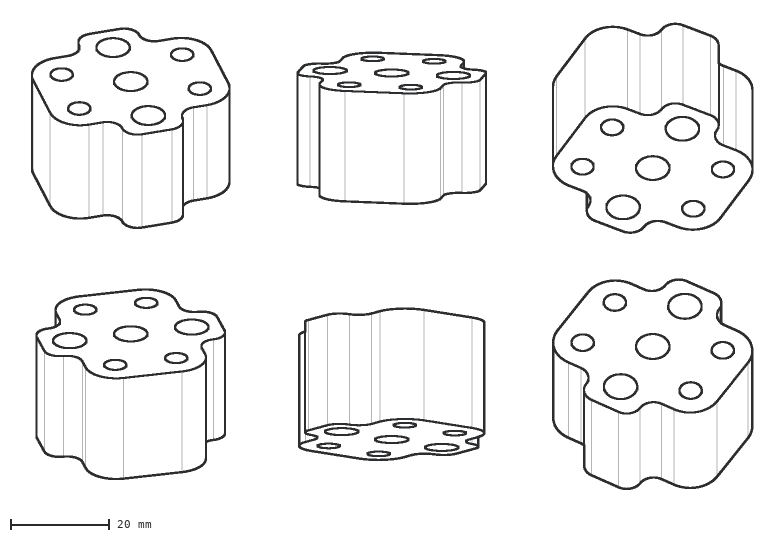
import cadquery as cq

pitch = 12.7
overall = 37.6
height = 22.85
body_width = 24.9
large_hole_diameter = 6.75
small_hole_diameter = 4.5

half_overall = overall / 2
half_body = body_width / 2
half_arm = pitch / 2
body_radius = pitch / 2
arm_radius = (half_overall - half_body) / 2


def rounded_block(size_x, size_y, radius):
    """Block centred on the origin, with its upright edges rounded."""
    return cq.Workplane("XY").box(size_x, size_y, height).edges("|Z").fillet(radius)


def arm_fillet(side_x, side_y):
    """Concave web joining an arm to the body in one inside corner."""
    corner_x = side_x * half_body
    corner_y = side_y * half_arm
    far_x = corner_x + side_x * arm_radius
    far_y = corner_y + side_y * arm_radius
    web = (
        cq.Workplane("XY")
        .center((corner_x + far_x) / 2, (corner_y + far_y) / 2)
        .box(arm_radius, arm_radius, height)
    )
    relief = cq.Workplane("XY").center(far_x, far_y).cylinder(height, arm_radius)
    return web.cut(relief)


result = rounded_block(body_width, overall, body_radius)
result = result.union(rounded_block(overall, 2 * half_arm, arm_radius))
for side_x in (-1, 1):
    for side_y in (-1, 1):
        result = result.union(arm_fillet(side_x, side_y))

large_hole_points = [(-pitch, 0), (0, 0), (pitch, 0)]
result = (
    result.faces(">Z")
    .workplane(origin=(0, 0, 0))
    .pushPoints(large_hole_points)
    .hole(large_hole_diameter)
)
result = (
    result.faces(">Z")
    .workplane(origin=(0, 0, 0))
    .rect(pitch, 2 * pitch, forConstruction=True)
    .vertices()
    .hole(small_hole_diameter)
)